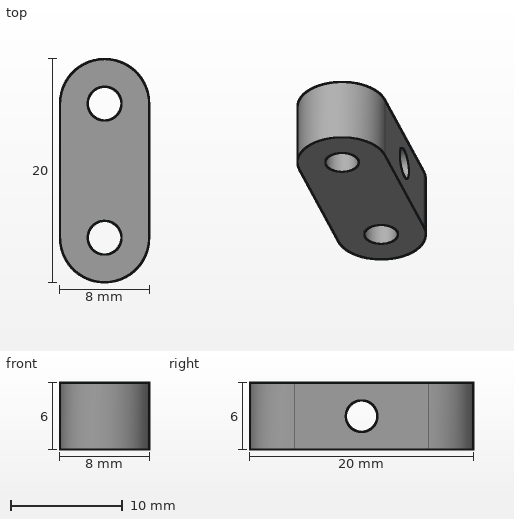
import cadquery as cq

length = 20.0
width = 8.0
height = 6.0
end_hole_diameter = 3.0
cross_hole_diameter = 2.8

hole_spacing = length - width


def link_body():
    """Slot-shaped bar with its long axis along Y, centred on the origin."""
    return cq.Workplane("XY").slot2D(length, width, 90).extrude(height / 2, both=True)


def end_holes():
    """Two vertical through-hole cutters, one at each rounded end."""
    return (
        cq.Workplane("XY")
        .pushPoints([(0, -hole_spacing / 2), (0, hole_spacing / 2)])
        .circle(end_hole_diameter / 2)
        .extrude(height / 2, both=True)
    )


def cross_hole():
    """Horizontal through-hole cutter along X, at the middle of the flat sides."""
    return cq.Workplane("YZ").circle(cross_hole_diameter / 2).extrude(width / 2, both=True)


result = link_body().cut(end_holes()).cut(cross_hole())